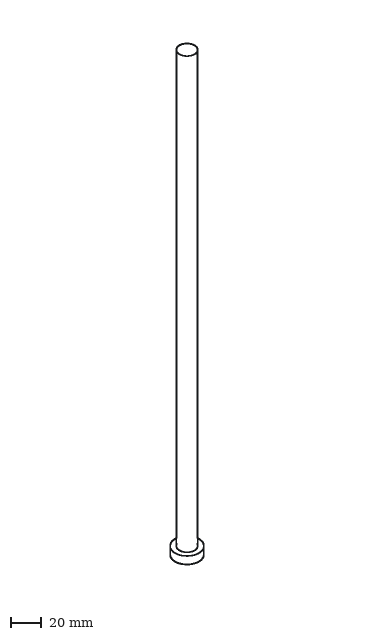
import cadquery as cq

total_length = 407.0
head_diameter = 22.0
head_height = 7.0
shaft_diameter = 14.0

head = cq.Workplane("XY").circle(head_diameter / 2).extrude(head_height)
shaft = cq.Workplane("XY").circle(shaft_diameter / 2).extrude(total_length)

result = head.union(shaft)